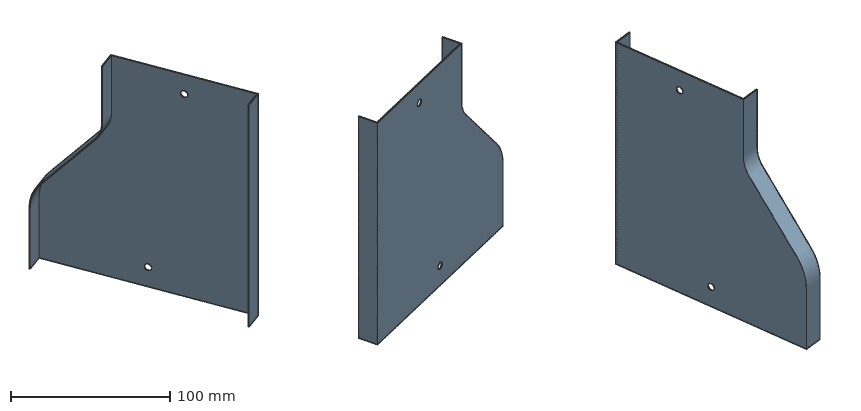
import cadquery as cq
import math

sheet = 0.8
lower_width = 152.0
upper_width = 102.0
height = 170.0
depth = 14.0

slope_bottom = 58.4
slope_height = 60.0
lower_bend_radius = 31.6
upper_bend_radius = 19.2

hole_diameter = 5.0
hole_end_distance = 15.0

right_face = lower_width / 2
lower_left_face = right_face - lower_width
upper_left_face = right_face - upper_width
slope_angle = math.atan2(lower_width - upper_width, slope_height)


def bend_points(center, radius):
    """Middle and slope end of a bend whose other end is on the vertical face.

    A positive radius places the bend on the right of its center, a negative one on the left.
    """
    return [
        (center[0] + radius * math.cos(angle), center[1] - radius * math.sin(angle))
        for angle in (slope_angle / 2, slope_angle)
    ]


def side_block(inset):
    """Full-depth block of the outline, with both sides moved inward by the inset."""
    right = right_face - inset
    lower_left = lower_left_face + inset
    upper_left = upper_left_face + inset

    tangent_ratio = math.tan(slope_angle / 2)
    lower_center = (
        lower_left_face + lower_bend_radius,
        slope_bottom - lower_bend_radius * tangent_ratio,
    )
    upper_center = (
        upper_left_face - upper_bend_radius,
        slope_bottom + slope_height + upper_bend_radius * tangent_ratio,
    )
    lower_middle, lower_end = bend_points(lower_center, inset - lower_bend_radius)
    upper_middle, upper_end = bend_points(upper_center, inset + upper_bend_radius)

    return (
        cq.Workplane("XZ")
        .moveTo(right, 0)
        .lineTo(lower_left, 0)
        .lineTo(lower_left, lower_center[1])
        .threePointArc(lower_middle, lower_end)
        .lineTo(*upper_end)
        .threePointArc(upper_middle, (upper_left, upper_center[1]))
        .lineTo(upper_left, height)
        .lineTo(right, height)
        .close()
        .extrude(depth)
    )


def flanged_plate():
    """Plate with its back on Y = 0 and its flanges reaching toward -Y."""
    inside = side_block(sheet).translate((0, -sheet, 0))
    return side_block(0).cut(inside)


def screw_holes():
    """One hole near each end, centered on the plate width there."""
    centers = [
        ((lower_left_face + right_face) / 2, hole_end_distance),
        ((upper_left_face + right_face) / 2, height - hole_end_distance),
    ]
    return cq.Workplane("XZ").pushPoints(centers).circle(hole_diameter / 2).extrude(sheet)


result = flanged_plate().cut(screw_holes())